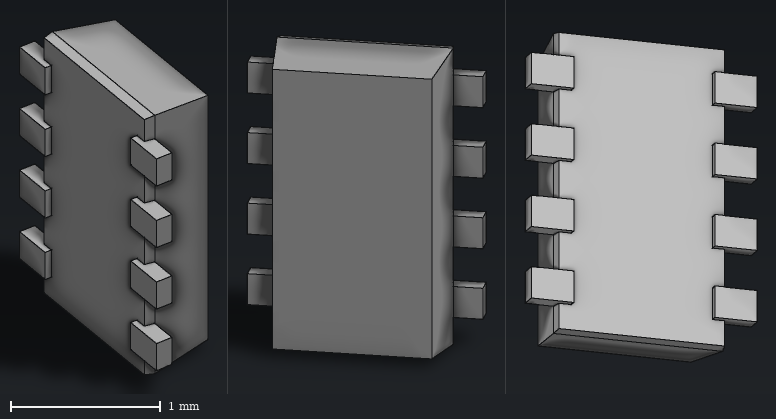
import cadquery as cq


overall_width = 1.6
overall_depth = 0.6
housing_length = 2.1
housing_width = 1.2
cover_draft = 7.0
base_draft = 10.0

leads_per_side = 4
lead_pitch = 0.5
lead_width = 0.22
lead_length = 0.3
lead_thickness = 0.125
standoff = 0.05

parting_y = lead_thickness
base_depth = parting_y - standoff
cover_depth = overall_depth - parting_y
lead_center_x = (overall_width - lead_length) / 2


def drafted_block(depth, direction, draft):
    """Rectangular block from the parting plane, tapering along +Y (1) or -Y (-1)."""
    parting_plane = cq.Plane(origin=(0, parting_y, 0), xDir=(1, 0, 0), normal=(0, direction, 0))
    return (
        cq.Workplane(parting_plane)
        .rect(housing_width, housing_length)
        .extrude(depth, taper=draft)
    )


def lead(side, row):
    """Straight flat lead on the -X (-1) or +X (1) side; rows count up along Z."""
    center_z = (row - (leads_per_side - 1) / 2) * lead_pitch
    return (
        cq.Workplane("XY")
        .box(lead_length, lead_thickness, lead_width)
        .translate((side * lead_center_x, lead_thickness / 2, center_z))
    )


leads = []
for side in (-1, 1):
    for row in range(leads_per_side):
        leads.append(lead(side, row))

housing_cover = drafted_block(cover_depth, 1, cover_draft)

housing_base = drafted_block(base_depth, -1, base_draft)
for seated_lead in leads:
    housing_base = housing_base.cut(seated_lead)

result = cq.Compound.makeCompound(
    [housing_cover.val(), *housing_base.vals(), *[body.val() for body in leads]]
)